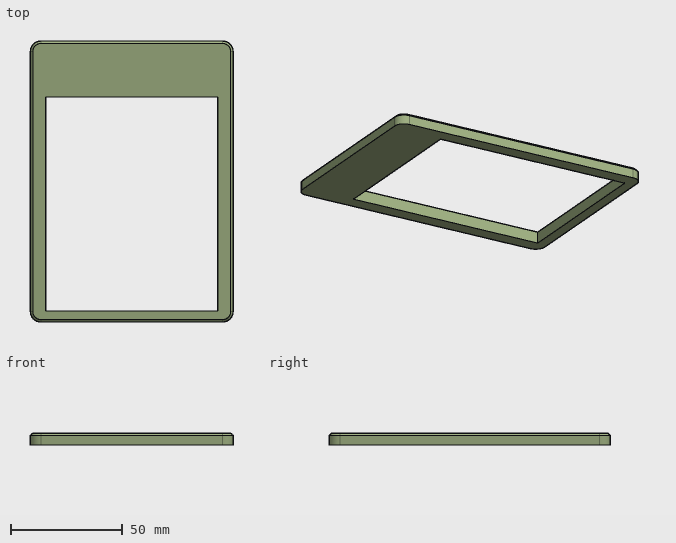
import cadquery as cq

width = 91.0
length = 126.0
thickness = 5.4
corner_radius = 4.8
edge_chamfer = 1.1

window_width = 76.9
window_length = 95.8
front_border = 5.0


def make_plate():
    """Rounded plate with a chamfer around its top outer edge."""
    plate = cq.Workplane("XY").box(width, length, thickness, centered=(True, True, False))
    plate = plate.edges("|Z").fillet(corner_radius)
    return plate.faces(">Z").edges().chamfer(edge_chamfer)


def make_window():
    """Block that cuts the window through the full thickness."""
    window_center_y = -length / 2 + front_border + window_length / 2
    window = cq.Workplane("XY").center(0, window_center_y)
    return window.rect(window_width, window_length).extrude(thickness)


result = make_plate().cut(make_window())